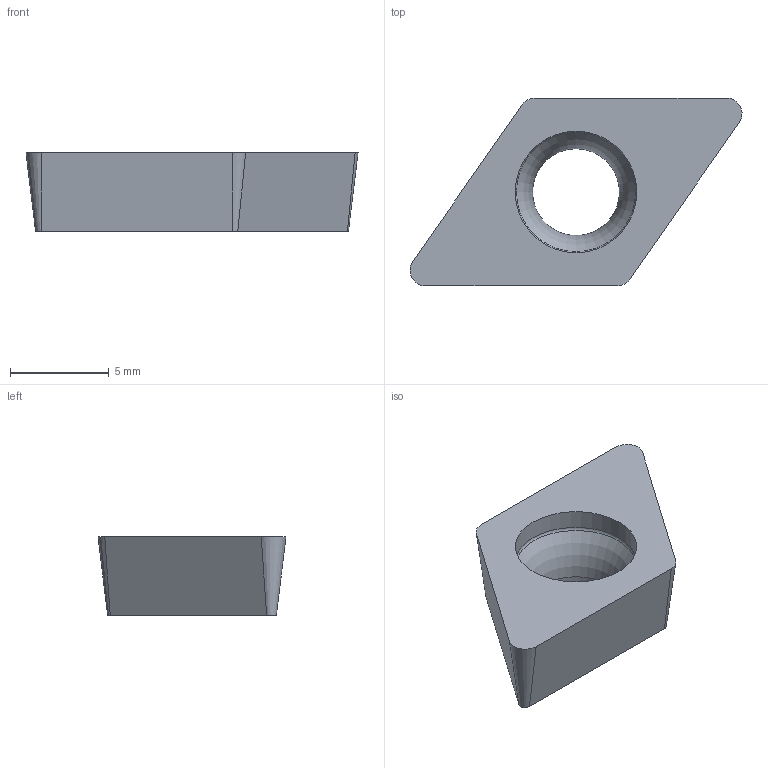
import cadquery as cq
import math

inscribed_diameter = 9.53
thickness = 3.97
nose_angle = 55.0
clearance_angle = 7.0
nose_radius = 0.8

bore_diameter = 4.4
recess_diameter = 6.16
seat_arc_radius = 3.6
seat_end_depth = 3.42
blend_radius = 0.25


def rhombus(inradius):
    """Corner points of a rhombus with two sides parallel to X, centred on the origin."""
    side = 2 * inradius / math.sin(math.radians(nose_angle))
    lean = inradius / math.tan(math.radians(nose_angle))
    return [
        (-side / 2 - lean, -inradius),
        (side / 2 - lean, -inradius),
        (side / 2 + lean, inradius),
        (-side / 2 + lean, inradius),
    ]


def insert_body():
    """Solid insert whose flanks and conical corners narrow downwards."""
    core = cq.Workplane("XY").polyline(rhombus(inscribed_diameter / 2 - nose_radius)).close()
    outline = core.offset2D(nose_radius, "arc")
    return outline.extrude(-thickness, taper=clearance_angle).translate((0, 0, thickness))


def screw_hole():
    """Revolved cutter for the recess, its blend, the curved seat and the through bore."""
    bore_radius = bore_diameter / 2
    recess_radius = recess_diameter / 2
    seat_end = thickness - seat_end_depth

    seat_centre_radius = bore_radius + seat_arc_radius

    centre_distance = seat_arc_radius + blend_radius
    centre_offset = seat_centre_radius - (recess_radius - blend_radius)
    blend_rise = math.sqrt(centre_distance**2 - centre_offset**2)
    seat_share = seat_arc_radius / centre_distance
    seat_top = (
        seat_centre_radius - centre_offset * seat_share,
        seat_end + blend_rise * seat_share,
    )
    blend_top = (recess_radius, seat_end + blend_rise)

    return (
        cq.Workplane("XZ")
        .lineTo(bore_radius, 0)
        .lineTo(bore_radius, seat_end)
        .tangentArcPoint(seat_top, relative=False)
        .tangentArcPoint(blend_top, relative=False)
        .lineTo(recess_radius, thickness)
        .lineTo(0, thickness)
        .close()
        .revolve(360, (0, 0, 0), (0, 1, 0))
    )


result = insert_body().cut(screw_hole())